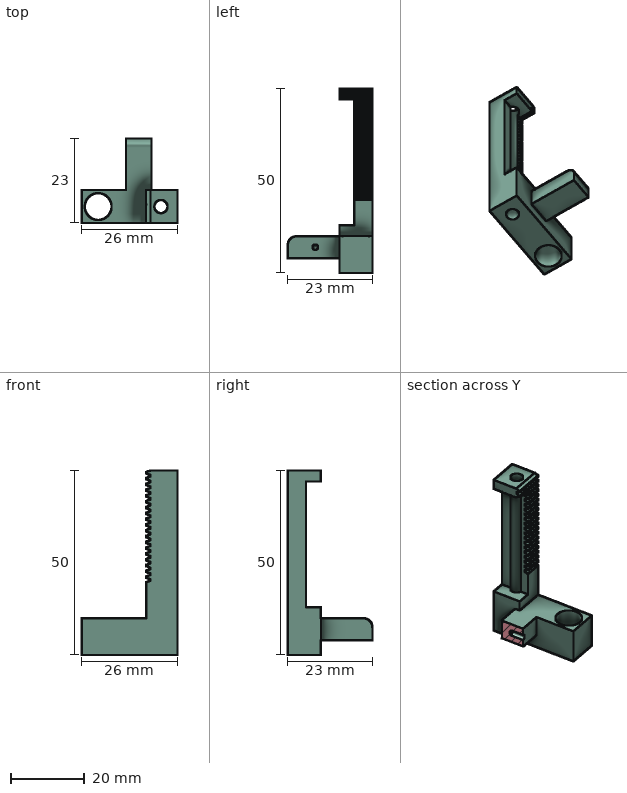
import cadquery as cq
import math

base_length = 26.0
base_width = 9.0
base_height = 10.0

total_height = 50.0
column_depth = 8.5
column_left = base_length - column_depth

relief_front = 5.0
foot_height = 3.0
head_height = 3.0

tooth_module = 0.5
pressure_angle = math.radians(20)
pitch = math.pi * tooth_module
addendum = tooth_module
dedendum = 1.25 * tooth_module
gap_half_at_tip = pitch / 4 + addendum * math.tan(pressure_angle)
gap_half_at_root = pitch / 4 - dedendum * math.tan(pressure_angle)
root_x = column_left + addendum + dedendum
gap_count = 20
first_gap_z = total_height + gap_half_at_root

arm_left = 12.0
arm_width = 7.0
arm_end = 23.0
arm_bottom = 4.0
arm_fillet = 2.5

post_hole_diameter = 7.2
post_hole_x = 4.5
column_hole_diameter = 3.5
column_hole_x = 21.5
pin_hole_diameter = 1.5
pin_hole_depth = 4.0
drill_point_angle = math.radians(118)
pin_hole_y = 15.5
pin_hole_z = (arm_bottom + base_height) / 2


def box(x_range, y_range, z_range):
    """Axis-aligned block between the given limits."""
    sizes = [high - low for low, high in (x_range, y_range, z_range)]
    corner = (x_range[0], y_range[0], z_range[0])
    return cq.Workplane("XY").box(*sizes, centered=False).translate(corner)


def make_arm():
    arm = box((arm_left, arm_left + arm_width), (0, arm_end), (arm_bottom, base_height))
    return arm.edges(">Y and >Z").fillet(arm_fillet)


def make_column():
    column = box((column_left, base_length), (0, base_width), (0, total_height))
    relief = box(
        (column_left, base_length),
        (relief_front, base_width),
        (base_height + foot_height, total_height - head_height),
    )
    return column.cut(relief)


def make_tooth_gap(center_z):
    """Trapezoidal space between two teeth, running across the column in Y."""
    return (
        cq.Workplane("XZ")
        .polyline([
            (column_left, center_z - gap_half_at_tip),
            (root_x, center_z - gap_half_at_root),
            (root_x, center_z + gap_half_at_root),
            (column_left, center_z + gap_half_at_tip),
        ])
        .close()
        .extrude(-base_width)
    )


def vertical_hole(x, diameter):
    """Hole through the full height, centred across the base."""
    return cq.Workplane("XY").center(x, base_width / 2).circle(diameter / 2).extrude(total_height)


def make_pin_hole():
    """Blind drilled hole into the arm from its -X face, ending in a conical point."""
    radius = pin_hole_diameter / 2
    point_length = radius / math.tan(drill_point_angle / 2)
    return (
        cq.Workplane("XY")
        .lineTo(pin_hole_depth + point_length, 0)
        .lineTo(pin_hole_depth, radius)
        .lineTo(0, radius)
        .close()
        .revolve(360, (0, 0, 0), (1, 0, 0))
        .translate((arm_left, pin_hole_y, pin_hole_z))
    )


base = box((0, base_length), (0, base_width), (0, base_height))
result = base.union(make_column()).union(make_arm())

for index in range(gap_count):
    result = result.cut(make_tooth_gap(first_gap_z - index * pitch))

result = result.cut(vertical_hole(post_hole_x, post_hole_diameter))
result = result.cut(vertical_hole(column_hole_x, column_hole_diameter))
result = result.cut(make_pin_hole())